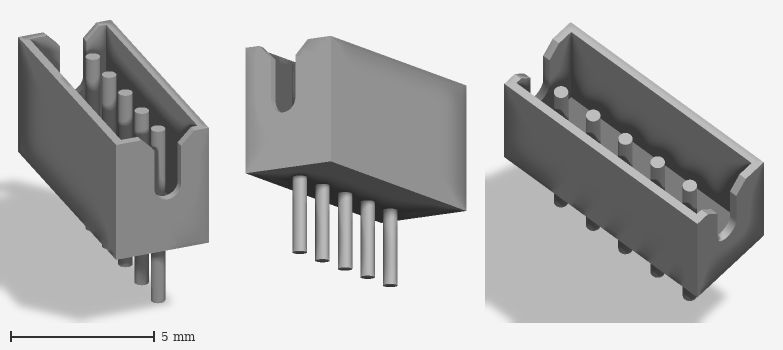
import cadquery as cq

housing_length = 9.0
housing_width = 3.5
housing_height = 4.5
end_wall = 0.3
side_wall = 0.31
floor_thickness = 0.5

slot_width = 1.0
slot_depth = 2.5
slot_offset = 0.2
flare = 0.5

pin_count = 5
pin_pitch = housing_length / (pin_count + 1)
pin_diameter = 0.5
pin_offset = 0.45
pin_below = 2.7
pin_top = 4.01


def pin_position(index):
    return ((index - (pin_count - 1) / 2) * pin_pitch, pin_offset)


def make_pin(index):
    """Round pin from below the housing up into the cavity."""
    return (
        cq.Workplane("XY", origin=(0, 0, -pin_below))
        .center(*pin_position(index))
        .circle(pin_diameter / 2)
        .extrude(pin_below + pin_top)
    )


def make_slot_cutter():
    """Round-bottomed slot with a flared mouth, running the full length along X."""
    radius = slot_width / 2
    arc_height = housing_height - slot_depth + radius
    flare_height = housing_height - flare
    left = slot_offset - radius
    right = slot_offset + radius
    return (
        cq.Workplane("YZ")
        .moveTo(left - flare, housing_height)
        .lineTo(left, flare_height)
        .lineTo(left, arc_height)
        .threePointArc((slot_offset, arc_height - radius), (right, arc_height))
        .lineTo(right, flare_height)
        .lineTo(right + flare, housing_height)
        .close()
        .extrude(housing_length / 2, both=True)
    )


def make_housing():
    """Box with a cavity, the end slots and one hole in the floor for each pin."""
    box = cq.Workplane("XY").rect(housing_length, housing_width).extrude(housing_height)
    cavity = (
        cq.Workplane("XY", origin=(0, 0, floor_thickness))
        .rect(housing_length - 2 * end_wall, housing_width - 2 * side_wall)
        .extrude(housing_height - floor_thickness)
    )
    pin_holes = (
        cq.Workplane("XY")
        .pushPoints([pin_position(index) for index in range(pin_count)])
        .circle(pin_diameter / 2)
        .extrude(floor_thickness)
    )
    return box.cut(cavity).cut(make_slot_cutter()).cut(pin_holes)


housing = make_housing()
pins = [make_pin(index) for index in range(pin_count)]

result = cq.Compound.makeCompound([housing.val(), *[pin.val() for pin in pins]])